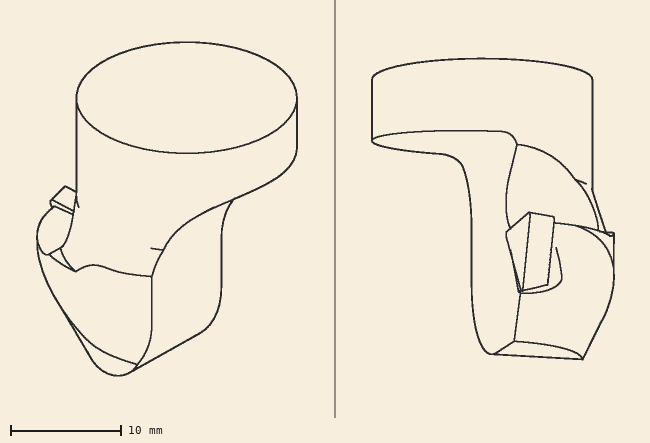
import cadquery as cq
import math

TOTAL_HEIGHT = 25.85
COLLAR_RADIUS = 10.0
COLLAR_BOTTOM = 15.55
BEYOND = 25.85

HEAD_OUTLINE = [
    (-14.2, 0),
    (-13.55, -4.0),
    (-11.58, -7.42),
    (-7.5, -10.23),
    (-4.65, -10.85),
    (-1.8, -10.9),
    (1.03, -10.85),
    (4.6, -9.77),
    (7.75, -7.5),
]
LEDGE_HEIGHT = 10.85
NECK_BASE_RADIUS = 11.52
HEAD_BASE_RADIUS = 9.07
HEAD_FLARE = 0.49
HEAD_TOP_RADIUS = HEAD_BASE_RADIUS + HEAD_FLARE * LEDGE_HEIGHT

REAR_Y = -0.34
UNDERSIDE_LEFT_HEIGHT = 19.12
UNDERSIDE_RISE = 1.65
UNDERSIDE_FILLET = 1.4

FLANK_X = 4.55
RUNOUT_RADIUS = 8.42
RUNOUT_CENTRE_Z = 12.92
HEEL_RADIUS = 7.88

GROOVE_RADIUS = 3.05
GROOVE_X = -9.53
GROOVE_Z = 13.23

RELIEF_RADIUS = 1.73
RELIEF_X = -12.58
RELIEF_Z = 4.85
RELIEF_ANGLE = 33.0

INSERT_TIP = (-15.2, -0.08, 10.88)
INSERT_SIDE = 8.27
INSERT_THICKNESS = 2.43
INSERT_TOP_SLOPE = 3.4
INSERT_TIP_ANGLE = 53.5
INSERT_TILT = 4.5
INSERT_CLEARANCE = 7.0
INSERT_NOSE = 0.3


def profile_plane(y):
    """XZ plane at the given Y; positive extrusion runs toward -Y."""
    return cq.Workplane("XZ", origin=(0, y, 0))


def frustum(bottom_radius, top_radius, bottom, top):
    return cq.Workplane(cq.Solid.makeCone(bottom_radius, top_radius, top - bottom, cq.Vector(0, 0, bottom)))


def blank():
    """Collar, flaring neck and tapered head before machining."""
    collar = cq.Workplane().workplane(offset=COLLAR_BOTTOM).circle(COLLAR_RADIUS)
    collar = collar.extrude(TOTAL_HEIGHT - COLLAR_BOTTOM)
    neck = frustum(NECK_BASE_RADIUS, COLLAR_RADIUS, LEDGE_HEIGHT, COLLAR_BOTTOM)
    head = frustum(HEAD_BASE_RADIUS, HEAD_TOP_RADIUS, 0, LEDGE_HEIGHT)
    outline = cq.Workplane().spline(HEAD_OUTLINE).lineTo(HEAD_OUTLINE[-1][0], 0).close().extrude(COLLAR_BOTTOM)
    return collar.union(neck.union(head).intersect(outline))


def rear_cut():
    """Space behind the rear face, with a rounded corner under the collar."""
    slope = UNDERSIDE_RISE / (2 * COLLAR_RADIUS)
    left_height = UNDERSIDE_LEFT_HEIGHT - slope * (BEYOND - COLLAR_RADIUS)
    right_height = UNDERSIDE_LEFT_HEIGHT + slope * (BEYOND + COLLAR_RADIUS)
    return (
        profile_plane(REAR_Y)
        .polyline([(-BEYOND, -BEYOND), (BEYOND, -BEYOND), (BEYOND, right_height), (-BEYOND, left_height)])
        .close()
        .extrude(-BEYOND)
        .faces("<Y")
        .edges(">Z")
        .fillet(UNDERSIDE_FILLET)
    )


def flank_cut():
    """Material removed along the right flank."""
    heel_x = FLANK_X - HEEL_RADIUS
    diagonal = math.sqrt(0.5)
    runout_x = FLANK_X + RUNOUT_RADIUS
    return (
        profile_plane(BEYOND)
        .moveTo(heel_x, 0)
        .threePointArc(
            (heel_x + HEEL_RADIUS * diagonal, HEEL_RADIUS * (1 - diagonal)),
            (FLANK_X, HEEL_RADIUS),
        )
        .lineTo(FLANK_X, RUNOUT_CENTRE_Z)
        .threePointArc(
            (runout_x - RUNOUT_RADIUS * diagonal, RUNOUT_CENTRE_Z + RUNOUT_RADIUS * diagonal),
            (runout_x, RUNOUT_CENTRE_Z + RUNOUT_RADIUS),
        )
        .lineTo(BEYOND, RUNOUT_CENTRE_Z + RUNOUT_RADIUS)
        .lineTo(BEYOND, 0)
        .close()
        .extrude(2 * BEYOND)
    )


def groove_cut():
    """Chip groove running straight through along Y."""
    reach = GROOVE_RADIUS * math.sqrt(0.5)
    floor = GROOVE_Z - GROOVE_RADIUS
    return (
        profile_plane(BEYOND)
        .moveTo(-BEYOND, floor)
        .lineTo(GROOVE_X, floor)
        .threePointArc((GROOVE_X + GROOVE_RADIUS, GROOVE_Z), (GROOVE_X + reach, GROOVE_Z + reach))
        .lineTo(-BEYOND, GROOVE_Z + 2 * reach + GROOVE_X + BEYOND)
        .close()
        .extrude(2 * BEYOND)
    )


def relief_cut():
    """Sloping wall ending in a round corner below the insert."""
    angle = math.radians(RELIEF_ANGLE)
    wall_x = RELIEF_X + RELIEF_RADIUS * math.cos(angle)
    wall_z = RELIEF_Z + RELIEF_RADIUS * math.sin(angle)
    wall_top_x = wall_x - (LEDGE_HEIGHT - wall_z) * math.tan(angle)
    corner = profile_plane(BEYOND).center(RELIEF_X, RELIEF_Z).circle(RELIEF_RADIUS).extrude(2 * BEYOND)
    wall = (
        profile_plane(BEYOND)
        .polyline([
            (RELIEF_X, RELIEF_Z),
            (wall_x, wall_z),
            (wall_top_x, LEDGE_HEIGHT),
            (-BEYOND, LEDGE_HEIGHT),
            (-BEYOND, RELIEF_Z),
        ])
        .close()
        .extrude(2 * BEYOND)
    )
    return corner.union(wall)


def insert_prism(depth, taper):
    """Triangle extruded from the rake face; positive depth runs into the holder."""
    top_angle = math.radians(-INSERT_TOP_SLOPE)
    side_angle = math.radians(-INSERT_TOP_SLOPE - INSERT_TIP_ANGLE)
    corners = [
        (0, 0),
        (INSERT_SIDE * math.cos(top_angle), INSERT_SIDE * math.sin(top_angle)),
        (INSERT_SIDE * math.cos(side_angle), INSERT_SIDE * math.sin(side_angle)),
    ]
    prism = cq.Workplane("XZ").polyline(corners).close().extrude(depth, taper=taper)
    prism = prism.edges("not(#Y)").fillet(INSERT_NOSE)
    return prism.rotate((0, 0, 0), (1, 0, 0), -INSERT_TILT).translate(INSERT_TIP)


def make_insert():
    return insert_prism(INSERT_THICKNESS, INSERT_CLEARANCE)


def make_holder(insert):
    holder = blank().cut(rear_cut()).cut(flank_cut()).cut(groove_cut()).cut(relief_cut())
    pocket_mouth = insert_prism(-INSERT_THICKNESS, 0)
    return holder.cut(insert).cut(pocket_mouth)


insert = make_insert()
holder = make_holder(insert)
result = cq.Compound.makeCompound([holder.val(), insert.val()])